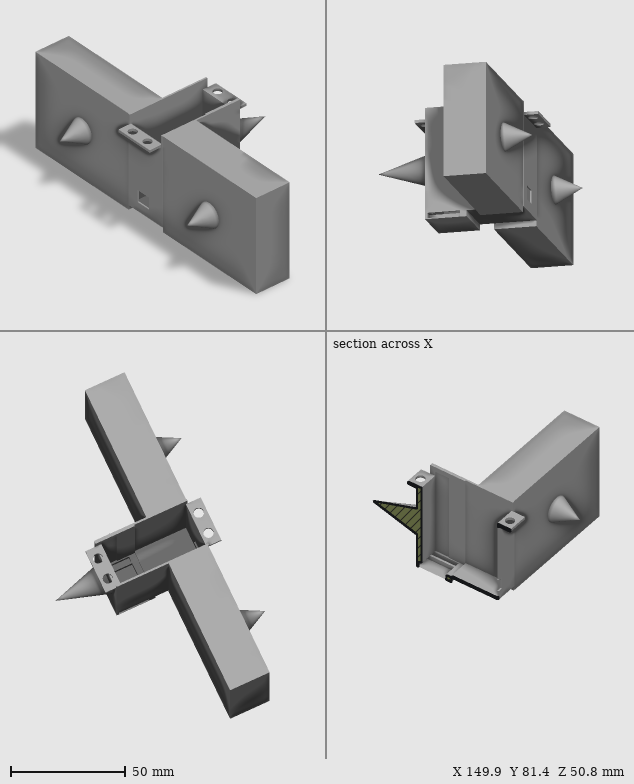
import cadquery as cq

BAR_LENGTH = 149.9
HEIGHT = 50.8
BAR_FRONT = 0.3
BAR_BACK = 19.5

WALL = 0.9
HOUSING_WIDTH = 23.1
HOUSING_BACK = 44.7
FRONT_WALL = 0.7
BACK_WALL = 2.7
CAVITY_LEFT = WALL - HOUSING_WIDTH / 2
CAVITY_RIGHT = HOUSING_WIDTH / 2 - WALL
CAVITY_BACK = HOUSING_BACK - BACK_WALL
REAR_LINING = 0.6

FLOOR_STEP = 25.8
FRONT_UNDERSIDE = 2.7
FRONT_FLOOR_TOP = 3.7
REAR_FLOOR_TOP = 2.8

POCKET_BOTTOM = 0.5
POCKET_FRONT = 28.8
POCKET_BACK = 43.6
RIB_WIDTH = 1.0
LEFT_RIB = -7.6
RIGHT_RIB = 6.3
RIGHT_POCKET_END = 9.6

RECESS_FRONT = 34.3
RECESS_TOP = 48.3
RECESS_DEPTH = 0.5

TAB_TOP = 45.9
TAB_THICKNESS = 1.3
FRONT_TAB_END = -6.5
BACK_TAB_END = 49.6
HOLE_DIAMETER = 4.5
HOLE_SPACING = 10.0
HOLE_CENTER_X = -0.3
HOLE_ROWS = (-2.7, 46.0)

WINDOW_LEFT = -5.2
WINDOW_RIGHT = 2.4
WINDOW_BOTTOM = 7.5
WINDOW_TOP = 13.8

SPIKE_Z = HEIGHT / 2
FRONT_SPIKE_X = 43.2
FRONT_SPIKE_RADIUS = 6.5
FRONT_SPIKE_LENGTH = 12.7
BACK_SPIKE_RADIUS = 7.5
BACK_SPIKE_LENGTH = 24.3


def block(x0, x1, y0, y1, z0, z1):
    """Box between two opposite corners."""
    return cq.Workplane("XY").box(x1 - x0, y1 - y0, z1 - z0, centered=False).translate((x0, y0, z0))


def spike(x, y, radius, length, direction):
    """Pointed cone standing on a wall, along +Y or -Y."""
    return cq.Workplane(cq.Solid.makeCone(
        radius, 0, length, cq.Vector(x, y, SPIKE_Z), cq.Vector(0, direction, 0)
    ))


half_bar = BAR_LENGTH / 2
half_housing = HOUSING_WIDTH / 2
body = block(-half_bar, half_bar, BAR_FRONT, BAR_BACK, 0, HEIGHT)
body = body.union(block(-half_housing, half_housing, 0, HOUSING_BACK, 0, HEIGHT))

rear_right = CAVITY_RIGHT - REAR_LINING
body = body.cut(block(CAVITY_LEFT, CAVITY_RIGHT, FRONT_WALL, FLOOR_STEP, FRONT_FLOOR_TOP, HEIGHT))
body = body.cut(block(CAVITY_LEFT, rear_right, FLOOR_STEP, CAVITY_BACK, REAR_FLOOR_TOP, HEIGHT))

body = body.cut(block(CAVITY_LEFT, CAVITY_RIGHT, 0, FRONT_WALL, TAB_TOP, HEIGHT))
body = body.cut(block(CAVITY_LEFT, rear_right, CAVITY_BACK, HOUSING_BACK, TAB_TOP, HEIGHT))

body = body.cut(block(-half_housing, half_housing, 0, FLOOR_STEP, 0, FRONT_UNDERSIDE))

for left, right in (
    (-half_housing, LEFT_RIB),
    (LEFT_RIB + RIB_WIDTH, RIGHT_RIB),
    (RIGHT_RIB + RIB_WIDTH, RIGHT_POCKET_END),
):
    body = body.cut(block(left, right, POCKET_FRONT, POCKET_BACK, POCKET_BOTTOM, REAR_FLOOR_TOP))

recess_right = rear_right + RECESS_DEPTH
body = body.cut(block(rear_right, recess_right, RECESS_FRONT, CAVITY_BACK, REAR_FLOOR_TOP, RECESS_TOP))

body = body.cut(block(WINDOW_LEFT, WINDOW_RIGHT, 0, FRONT_WALL, WINDOW_BOTTOM, WINDOW_TOP))

tab_bottom = TAB_TOP - TAB_THICKNESS
body = body.union(block(CAVITY_LEFT, CAVITY_RIGHT, FRONT_TAB_END, FRONT_WALL, tab_bottom, TAB_TOP))
body = body.union(block(CAVITY_LEFT, rear_right, CAVITY_BACK, BACK_TAB_END, tab_bottom, TAB_TOP))
for row_y in HOLE_ROWS:
    for side in (-1, 1):
        hole_x = HOLE_CENTER_X + side * HOLE_SPACING / 2
        hole = cq.Workplane("XY").circle(HOLE_DIAMETER / 2).extrude(TAB_THICKNESS)
        body = body.cut(hole.translate((hole_x, row_y, tab_bottom)))

for spike_x in (-FRONT_SPIKE_X, FRONT_SPIKE_X):
    body = body.union(spike(spike_x, BAR_FRONT, FRONT_SPIKE_RADIUS, FRONT_SPIKE_LENGTH, -1))
body = body.union(spike(0, HOUSING_BACK, BACK_SPIKE_RADIUS, BACK_SPIKE_LENGTH, 1))

result = body